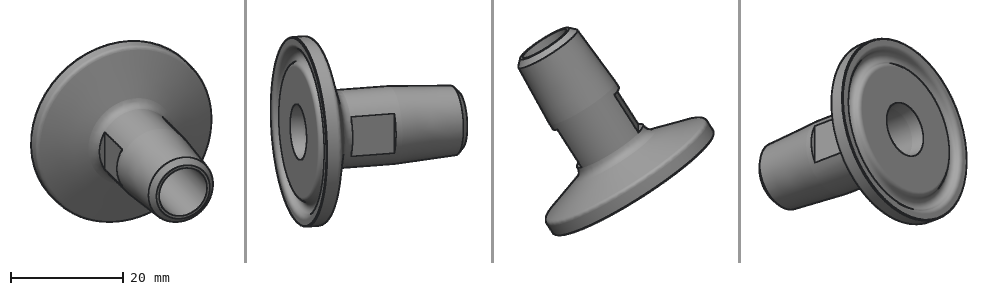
import cadquery as cq
import math

length = 30.0
flange_radius = 17.0
neck_radius = 7.0
cone_angle = 20.0

rim_chamfer = 0.17
rim_back = 2.85
rim_fillet = 0.8
neck_fillet = 2.0

groove_radius = 13.75
groove_half_width = 2.0
flank_outer_offset = 1.2
flank_inner_offset = 1.05
flank_angle = 65.0

taper_start = 17.27
taper_end_radius = 6.25
nose_chamfer = 1.1

bore_radius = 4.62
mouth_radius = 5.0
mouth_depth = 2.3

flat_start = 8.0
flat_length = 8.1
flat_distance = 6.0
cutter_overshoot = 0.35


def make_body():
    cone_foot = rim_back + (flange_radius - neck_radius) * math.tan(math.radians(cone_angle))
    profile = (
        cq.Workplane("XZ")
        .moveTo(0, 0)
        .lineTo(0, flange_radius - rim_chamfer)
        .lineTo(rim_chamfer, flange_radius)
        .lineTo(rim_back, flange_radius)
        .lineTo(cone_foot, neck_radius)
        .lineTo(taper_start, neck_radius)
        .lineTo(length - nose_chamfer, taper_end_radius)
        .lineTo(length, taper_end_radius - nose_chamfer)
        .lineTo(length, 0)
        .close()
    )
    body = profile.revolve(360, (0, 0, 0), (1, 0, 0))

    def rim_at(x):
        margin = 0.05
        return cq.selectors.BoxSelector((x - margin, -margin, -margin), (x + margin, margin, margin))

    body = body.edges(rim_at(rim_back)).fillet(rim_fillet)
    return body.edges(rim_at(cone_foot)).fillet(neck_fillet)


def make_groove():
    flank = math.radians(flank_angle)
    edge_arc = (groove_half_width - flank_outer_offset) / math.sin(flank)
    bottom_arc = flank_inner_offset / math.sin(flank)
    flank_top = edge_arc * (1 - math.cos(flank))
    flank_bottom = flank_top + (flank_outer_offset - flank_inner_offset) * math.tan(flank)
    groove_depth = flank_bottom + bottom_arc * (1 - math.cos(flank))
    edge_mid_depth = edge_arc * (1 - math.cos(flank / 2))
    edge_mid_offset = groove_half_width - edge_arc * math.sin(flank / 2)
    profile = (
        cq.Workplane("XZ")
        .moveTo(0, groove_radius - groove_half_width)
        .threePointArc(
            (edge_mid_depth, groove_radius - edge_mid_offset),
            (flank_top, groove_radius - flank_outer_offset),
        )
        .lineTo(flank_bottom, groove_radius - flank_inner_offset)
        .threePointArc(
            (groove_depth, groove_radius),
            (flank_bottom, groove_radius + flank_inner_offset),
        )
        .lineTo(flank_top, groove_radius + flank_outer_offset)
        .threePointArc(
            (edge_mid_depth, groove_radius + edge_mid_offset),
            (0, groove_radius + groove_half_width),
        )
        .close()
    )
    return profile.revolve(360, (0, 0, 0), (1, 0, 0))


def make_bore():
    profile = (
        cq.Workplane("XZ")
        .moveTo(0, 0)
        .lineTo(0, mouth_radius)
        .lineTo(mouth_depth, bore_radius)
        .lineTo(length, bore_radius)
        .lineTo(length, 0)
        .close()
    )
    return profile.revolve(360, (0, 0, 0), (1, 0, 0))


def make_flat_cutter(side):
    cut_depth = neck_radius - flat_distance + cutter_overshoot
    return cq.Workplane("XY").box(flat_length, cut_depth, 2 * neck_radius).translate(
        (flat_start + flat_length / 2, side * (flat_distance + cut_depth / 2), 0)
    )


result = make_body().cut(make_groove()).cut(make_bore())
for side in (-1, 1):
    result = result.cut(make_flat_cutter(side))